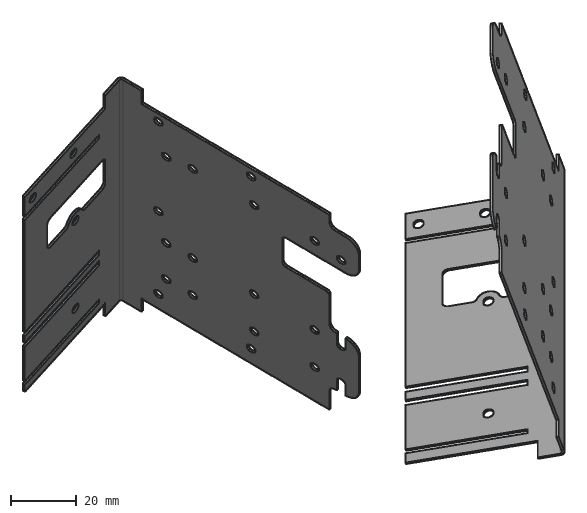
import cadquery as cq

length = 90.5
depth = 50.0
height = 113.5
thickness = 0.8
inner_bend_radius = 0.8
outer_bend_radius = inner_bend_radius + thickness
hole_diameter = 3.3

strip_width = 8.6
body_half_height = 50.0

edge_x = 79.5
ear_top = 43.6
notch_x = 61.7
notch_top = 25.0
notch_bottom = 10.0
hook_top = -8.6
hook_bottom = -37.9
tab_corner_radius = 5.0
tab_root_radius = 2.5
notch_radius = 1.5

tab_hole_x = 83.9
upper_tab_hole_z = 30.3
hook_slot_zs = (-14.0, -32.6)

grid_xs = (27.9, 51.1, 73.9)
grid_zs = (32.1, -13.6, -32.7)
left_column_x = 17.9
left_column_zs = (upper_tab_hole_z,) + hook_slot_zs
outer_left_x = 15.0
outer_middle_x = 49.9
outer_top_z = 46.0
outer_bottom_z = -42.5

slot_start = 11.8
narrow_slot = 1.6
wide_slot = 2.0
flange_slots = ((39.0, narrow_slot), (-20.5, wide_slot), (-25.9, wide_slot), (-45.5, narrow_slot))
window_end = 38.6
window_top = 25.0
window_bottom = 10.0
window_radius = 2.0
lobe_distance = 24.1
lobe_z = 9.3
lobe_radius = 4.0
lobe_root_radius = 1.5
lower_hole_z = -35.8
top_hole_distances = (25.1, 46.0)
top_hole_z = 45.1


def bent_sheet():
    """Full-height L section with a rounded bend."""
    outline = (
        cq.Workplane("XY").workplane(offset=-height / 2)
        .polyline([
            (0, 0), (length, 0), (length, -thickness),
            (thickness, -thickness), (thickness, -depth), (0, -depth),
        ])
        .close().extrude(height)
    )
    outer_bend = cq.selectors.NearestToPointSelector((0, 0, 0))
    inner_bend = cq.selectors.NearestToPointSelector((thickness, -thickness, 0))
    sheet = outline.edges(outer_bend).fillet(outer_bend_radius)
    return sheet.edges(inner_bend).fillet(inner_bend_radius)


def plate_prism(x_start, x_end, z_start, z_end):
    """Rectangular block reaching through the mounting plate."""
    return cq.Workplane("XY").box(
        x_end - x_start, thickness, z_end - z_start, centered=False
    ).translate((x_start, -thickness, z_start))


def flange_prism(distance_start, distance_end, z_start, z_end):
    """Rectangular block reaching through the side flange."""
    return cq.Workplane("XY").box(
        thickness, distance_end - distance_start, z_end - z_start, centered=False
    ).translate((0, -distance_end, z_start))


def plate_discs(points, diameter):
    """Round cutters through the mounting plate at (x, z) points."""
    return cq.Workplane("XZ").pushPoints(points).circle(diameter / 2).extrude(thickness)


def flange_discs(points, diameter):
    """Round cutters through the side flange at (distance, z) points."""
    places = [(-distance, z) for distance, z in points]
    return cq.Workplane("YZ").pushPoints(places).circle(diameter / 2).extrude(thickness)


def fillet_corners(body, points, radius):
    """Round the plate edges along Y that pass through the given (x, z) points."""
    for x, z in points:
        corner = cq.selectors.NearestToPointSelector((x, -thickness / 2, z))
        body = body.edges("|Y").edges(corner).fillet(radius)
    return body


def mounting_plate():
    """Plate profile with its ear and hook, before drilling."""
    plate = plate_prism(0, strip_width, -height / 2, height / 2)
    plate = plate.union(plate_prism(0, edge_x, -body_half_height, body_half_height))
    plate = plate.union(plate_prism(edge_x, length, notch_top, ear_top))
    plate = plate.union(plate_prism(edge_x, length, hook_bottom, hook_top))
    plate = plate.cut(plate_prism(notch_x, length, notch_bottom, notch_top))

    tab_corners = [(length, z) for z in (ear_top, notch_top, hook_top, hook_bottom)]
    tab_roots = [(edge_x, z) for z in (ear_top, hook_top, hook_bottom)]
    notch_corners = [(notch_x, notch_top), (notch_x, notch_bottom), (edge_x, notch_bottom)]
    plate = fillet_corners(plate, tab_corners, tab_corner_radius)
    plate = fillet_corners(plate, tab_roots, tab_root_radius)
    plate = fillet_corners(plate, notch_corners, notch_radius)

    for slot_z, mouth_z in zip(hook_slot_zs, (hook_top, hook_bottom)):
        plate = plate.cut(plate_discs([(tab_hole_x, slot_z)], hole_diameter))
        plate = plate.cut(plate_prism(
            tab_hole_x - hole_diameter / 2, tab_hole_x + hole_diameter / 2,
            min(slot_z, mouth_z), max(slot_z, mouth_z),
        ))
    return plate


def plate_holes():
    points = [(x, z) for x in grid_xs for z in grid_zs]
    points += [(left_column_x, z) for z in left_column_zs]
    points += [(outer_left_x, z) for z in (outer_top_z, 0, outer_bottom_z)]
    points += [(outer_middle_x, z) for z in (outer_top_z, outer_bottom_z)]
    points.append((tab_hole_x, upper_tab_hole_z))
    return plate_discs(points, hole_diameter)


def flange_window():
    """Rounded window with a lobe of material left around the hole at its lower edge."""
    window = flange_prism(strip_width, window_end, window_bottom, window_top)
    window = window.edges("|X").fillet(window_radius)
    window = window.cut(flange_discs([(lobe_distance, lobe_z)], 2 * lobe_radius))
    half_chord = (lobe_radius**2 - (window_bottom - lobe_z)**2) ** 0.5
    for side in (-1, 1):
        root = (thickness / 2, -lobe_distance + side * half_chord, window_bottom)
        corner = cq.selectors.NearestToPointSelector(root)
        window = window.edges("|X").edges(corner).fillet(lobe_root_radius)
    return window


def side_flange():
    """Flange profile with its slots, window and holes."""
    flange = flange_prism(0, strip_width, -height / 2, height / 2)
    flange = flange.union(flange_prism(0, depth, -body_half_height, body_half_height))
    for slot_z, width in flange_slots:
        flange = flange.cut(flange_prism(slot_start, depth, slot_z - width / 2, slot_z + width / 2))
    holes = [(distance, top_hole_z) for distance in top_hole_distances]
    holes += [(lobe_distance, z) for z in (lobe_z, lower_hole_z)]
    return flange.cut(flange_window()).cut(flange_discs(holes, hole_diameter))


bend_strip = bent_sheet().intersect(
    cq.Workplane("XY").box(strip_width, strip_width, height).translate((strip_width / 2, -strip_width / 2, 0))
)
plate_leg = mounting_plate().cut(plate_holes()).cut(
    plate_prism(0, outer_bend_radius, -height / 2, height / 2)
)
flange_leg = side_flange().cut(flange_prism(0, outer_bend_radius, -height / 2, height / 2))
result = bend_strip.union(plate_leg).union(flange_leg).clean()